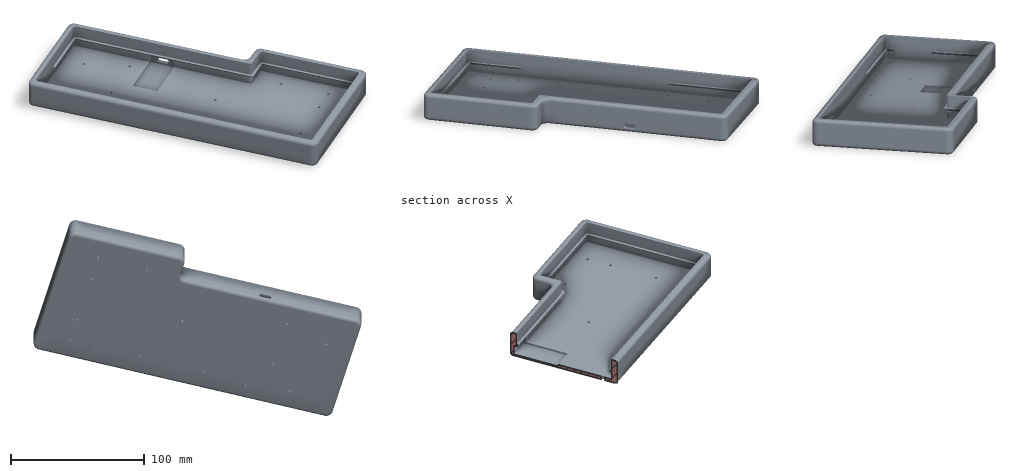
import cadquery as cq
key_pitch = 19.05
half_pitch = key_pitch / 2

case_width = 232.5
case_depth = 108.57
case_height = 20.6
step_x = 26.6
step_y = case_depth / 2 - key_pitch
outer_corner_radius = 5.0
rim_radius = 2.5

wall_thickness = 5.0
floor_thickness = 3.0
cavity_corner_radius = 2.0
cavity_back_y = step_y - wall_thickness

lip_width = 2.0
lip_top = 10.9
lip_bottom = lip_top - lip_width
lip_taper = 45.0
left_gap_y = (-42.5, -13.7)
front_gap_x = (-46.2, 70.0)

pocket_width = 19.6
pocket_center_x = -40.4
pocket_front_y = -4.6
pocket_depth = 1.5
wall_recess_depth = 2.0

connector_width = 9.2
connector_height = 4.0
connector_corner_radius = 1.6
connector_center_z = 4.9

hole_diameter = 2.2
column_spacing = 4 * key_pitch
right_column_x = 90.4
middle_column_x = right_column_x - column_spacing
left_column_x = middle_column_x - column_spacing
wide_key_step = 1.75 * key_pitch
front_row_y = -2 * key_pitch
lowered_row_y = front_row_y - 4.0
front_left_hole_x = -80.2
front_right_hole_x = 36.3
hole_points = [
    (right_column_x, 2 * key_pitch),
    (right_column_x - 2 * key_pitch, 2 * key_pitch),
    (right_column_x, key_pitch),
    (right_column_x, -key_pitch),
    (right_column_x, front_row_y),
    (middle_column_x, 0),
    (left_column_x, key_pitch),
    (left_column_x, -key_pitch),
    (left_column_x - wide_key_step, half_pitch),
    (front_left_hole_x, front_row_y),
    (front_left_hole_x + wide_key_step, lowered_row_y),
    (front_left_hole_x + 2 * wide_key_step, front_row_y),
    (front_right_hole_x, front_row_y),
    (front_right_hole_x + wide_key_step, lowered_row_y),
]


def stepped_prism(inset, bottom, top, taper=0):
    """Prism of the stepped case outline, moved inward by inset; taper narrows it upward, in degrees."""
    right = case_width / 2 - inset
    back = case_depth / 2 - inset
    inner_step_x = step_x + inset
    inner_step_y = step_y - inset
    outline = [
        (-right, -back),
        (right, -back),
        (right, back),
        (inner_step_x, back),
        (inner_step_x, inner_step_y),
        (-right, inner_step_y),
    ]
    return cq.Workplane("XY").workplane(offset=bottom).polyline(outline).close().extrude(top - bottom, taper=taper)


def block(x_range, y_range, z_range):
    """Axis-aligned box between the given limits."""
    lows, highs = zip(x_range, y_range, z_range)
    sizes = [high - low for low, high in zip(lows, highs)]
    return cq.Workplane("XY").box(*sizes, centered=False).translate(lows)


def make_body():
    body = stepped_prism(0, 0, case_height)
    body = body.edges("|Z").fillet(outer_corner_radius)
    return body.faces("<Z or >Z").edges().fillet(rim_radius)


def make_cavity():
    cavity = stepped_prism(wall_thickness, floor_thickness, case_height)
    return cavity.edges("|Z").fillet(cavity_corner_radius)


def make_lip():
    opening = stepped_prism(wall_thickness, lip_bottom, lip_top, lip_taper)
    ring = stepped_prism(wall_thickness / 2, lip_bottom, lip_top).cut(opening)
    lip_z = (lip_bottom, lip_top)
    wall_left_x = wall_thickness - case_width / 2
    wall_front_y = wall_thickness - case_depth / 2
    left_gap = block((wall_left_x, wall_left_x + lip_width), left_gap_y, lip_z)
    front_gap = block(front_gap_x, (wall_front_y, wall_front_y + lip_width), lip_z)
    return ring.cut(left_gap).cut(front_gap)


def make_pocket():
    x_range = (pocket_center_x - pocket_width / 2, pocket_center_x + pocket_width / 2)
    y_range = (pocket_front_y, cavity_back_y + wall_recess_depth)
    return block(x_range, y_range, (floor_thickness - pocket_depth, lip_bottom))


def make_connector_opening():
    length = 2 * wall_thickness
    opening = cq.Workplane("XY").box(connector_width, length, connector_height)
    opening = opening.edges("|Y").fillet(connector_corner_radius)
    return opening.translate((pocket_center_x, cavity_back_y + length / 2, connector_center_z))


def make_holes():
    return cq.Workplane("XY").pushPoints(hole_points).circle(hole_diameter / 2).extrude(floor_thickness)


result = (
    make_body()
    .cut(make_cavity())
    .union(make_lip())
    .cut(make_pocket())
    .cut(make_connector_opening())
    .cut(make_holes())
)